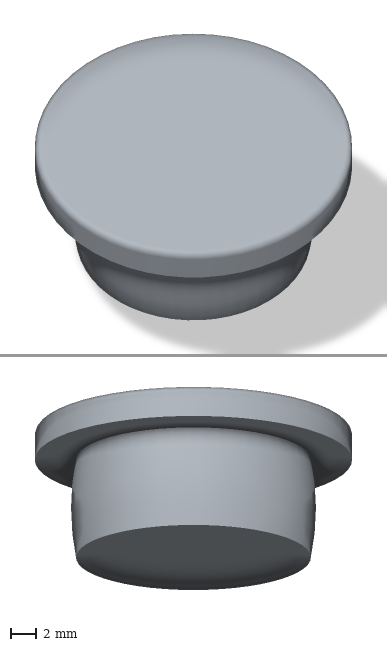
import cadquery as cq

flange_diameter = 25.0
flange_thickness = 2.5
flange_edge_radius = 0.5

plug_length = 8.0
plug_end_diameter = 18.5
plug_middle_diameter = 19.3


def make_flange():
    """Round disc standing on the Z = 0 plane, with a rounded upper rim."""
    disc = cq.Workplane("XY").circle(flange_diameter / 2).extrude(flange_thickness)
    return disc.faces(">Z").edges().fillet(flange_edge_radius)


def make_plug():
    """Solid plug hanging below Z = 0, bulging slightly at mid-length."""
    end_radius = plug_end_diameter / 2
    middle_radius = plug_middle_diameter / 2
    return (
        cq.Workplane("XZ")
        .lineTo(end_radius, 0)
        .threePointArc((middle_radius, -plug_length / 2), (end_radius, -plug_length))
        .lineTo(0, -plug_length)
        .close()
        .revolve(360, (0, 0), (0, 1))
    )


result = make_flange().union(make_plug())